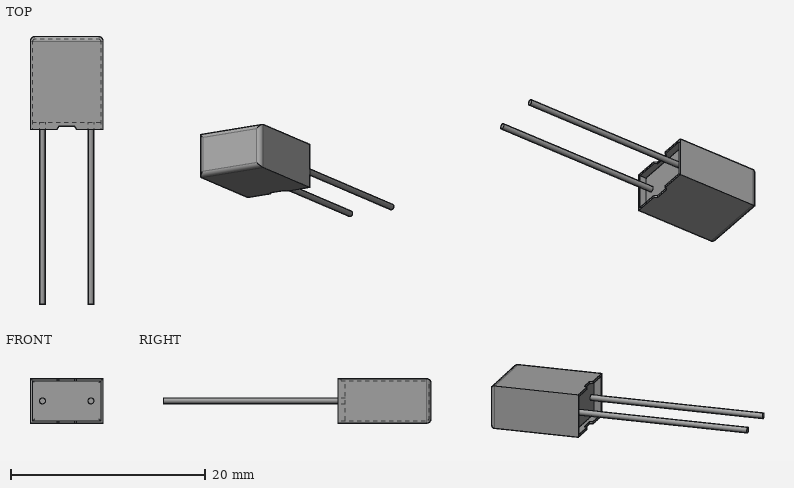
import cadquery as cq

housing_width = 7.5
housing_height = 4.6
overall_length = 27.6
lead_reach = 18.0
housing_length = overall_length - lead_reach
wall = 0.25
back_edge_radius = 0.5

notch_mouth_width = 2.05
notch_floor_width = 1.6
notch_depth = 0.33

fill_setback = 0.75
lead_diameter = 0.6
lead_pitch = 5.0


def block(width, height, y_start, y_end):
    """Box centred on the Y axis, running from y_start to y_end."""
    return cq.Workplane("XY").box(
        width, y_end - y_start, height, centered=(True, False, True)
    ).translate((0, y_start, 0))


def cavity(y_start):
    """Inner space of the housing from y_start to the back wall."""
    space = block(
        housing_width - 2 * wall,
        housing_height - 2 * wall,
        y_start,
        housing_length - wall,
    )
    return space.faces(">Y").edges().fillet(back_edge_radius - wall)


def make_housing():
    shell = block(housing_width, housing_height, 0, housing_length)
    shell = shell.faces(">Y").edges().fillet(back_edge_radius)
    notch = (
        cq.Workplane("XY")
        .polyline([
            (-notch_mouth_width / 2, 0),
            (-notch_floor_width / 2, notch_depth),
            (notch_floor_width / 2, notch_depth),
            (notch_mouth_width / 2, 0),
        ])
        .close()
        .extrude(housing_height / 2, both=True)
    )
    return shell.cut(cavity(0)).cut(notch)


def make_fill():
    """Potting compound that fills the cavity behind the setback."""
    return cavity(fill_setback)


def make_lead(x):
    """Round wire from the face of the fill out along -Y."""
    return (
        cq.Workplane("XZ", origin=(x, fill_setback, 0))
        .circle(lead_diameter / 2)
        .extrude(fill_setback + lead_reach)
    )


housing = make_housing()
fill = make_fill()
leads = [make_lead(side * lead_pitch / 2) for side in (-1, 1)]

result = cq.Compound.makeCompound(
    [housing.val(), fill.val(), *[lead.val() for lead in leads]]
)